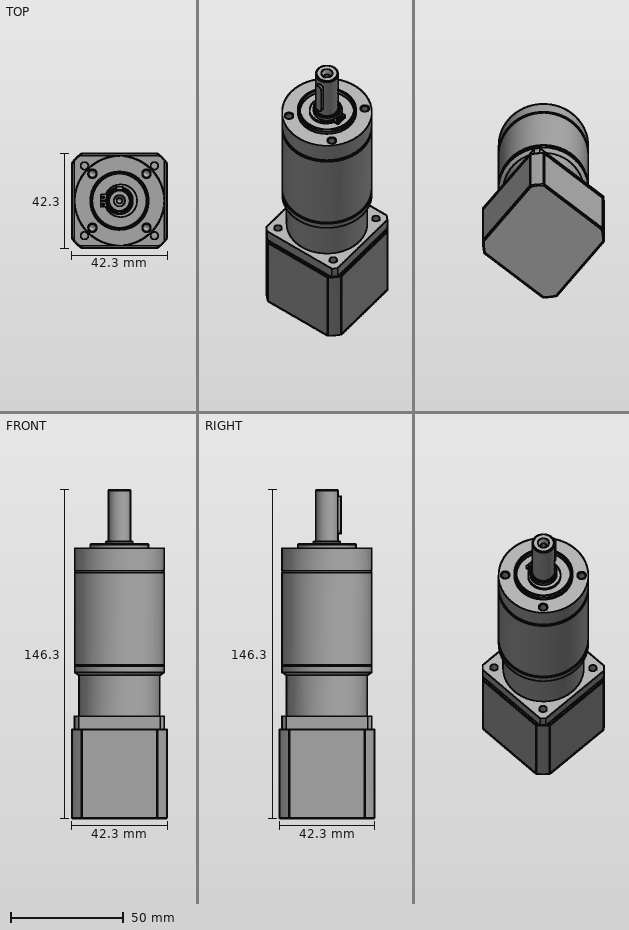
import cadquery as cq
import math

TOTAL_HEIGHT = 146.3

CORNER_DIAMETER = 54.0

MOTOR_WIDTH = 42.3
MOTOR_HEIGHT = 40.0
MOTOR_TOP_CHAMFER = 0.3
MOTOR_BOTTOM_CHAMFER = 0.6
MOTOR_CORNER_CHAMFER = 0.3

FLANGE_WIDTH = 40.0
FLANGE_THICKNESS = 5.7
FLANGE_HOLE_PITCH = 31.0
FLANGE_HOLE_DIAMETER = 3.4

NECK_DIAMETER = 36.0
HOUSING_DIAMETER = 40.0
TAPER_BOTTOM_Z = 63.8
TAPER_TOP_Z = 65.1
LOWER_GROOVE_WIDTH = 0.6
UPPER_GROOVE_WIDTH = 0.9
GROOVE_DEPTH = 0.3
LOWER_GROOVE_Z = 68.2
UPPER_GROOVE_Z = 109.9

SHAFT_LENGTH = 23.0
COLLAR_HEIGHT = 1.0
BOSS_HEIGHT = 2.0
BOSS_DIAMETER = 26.0
BOSS_CHAMFER = 0.6
RECESS_DIAMETER = 24.0
RECESS_DEPTH = 2.0
COLLAR_DIAMETER = 12.0
COLLAR_CHAMFER = 0.3
HEAD_HOLE_CIRCLE = 34.0
HEAD_HOLE_DIAMETER = 3.4
HEAD_HOLE_MOUTH_DIAMETER = 4.0
HEAD_HOLE_DEPTH = 8.0
HEAD_SINK_ANGLE = 90.0
DRILL_POINT_ANGLE = 118.0

RING_DIAMETER = 14.5
RING_OFFSET = 0.6
RING_THICKNESS = 1.0
EYES_REACH = 8.3
EYES_WIDTH = 5.5
EYES_GAP = 0.6
EYE_HOLE_DIAMETER = 0.9
EYE_CORNER_RADIUS = 0.5

SHAFT_DIAMETER = 10.0
SHAFT_CHAMFER = 0.5
CENTRE_HOLE_DIAMETER = 2.5
CENTRE_HOLE_DEPTH = 10.0
CENTRE_MOUTH_DIAMETER = 5.0
CENTRE_SINK_ANGLE = 60.0
KEY_WIDTH = 3.0
KEY_LENGTH = 16.5
KEY_END_GAP = 3.0
KEY_PROTRUSION = 1.3

SHAFT_BOTTOM_Z = TOTAL_HEIGHT - SHAFT_LENGTH
BOSS_TOP_Z = SHAFT_BOTTOM_Z - COLLAR_HEIGHT
HEAD_TOP_Z = BOSS_TOP_Z - BOSS_HEIGHT
FLANGE_TOP_Z = MOTOR_HEIGHT + FLANGE_THICKNESS


def cylinder(diameter, bottom_z, top_z):
    return cq.Workplane("XY", origin=(0, 0, bottom_z)).circle(diameter / 2).extrude(top_z - bottom_z)


def turned_square(width, bottom_z, height):
    """Square plate or block whose four corners are turned to one diameter about the axis."""
    block = cq.Workplane("XY", origin=(0, 0, bottom_z)).rect(width, width).extrude(height)
    return block.intersect(cylinder(CORNER_DIAMETER, bottom_z, bottom_z + height))


def make_motor():
    can = turned_square(MOTOR_WIDTH, 0, MOTOR_HEIGHT)
    can = can.edges("|Z").chamfer(MOTOR_CORNER_CHAMFER)
    can = can.faces(">Z").edges().chamfer(MOTOR_TOP_CHAMFER)
    return can.faces("<Z").edges().chamfer(MOTOR_BOTTOM_CHAMFER)


def drilled_hole(diameter, depth):
    """Blind hole cutter with a conical drill point, its mouth at the origin, going down."""
    radius = diameter / 2
    point = radius / math.tan(math.radians(DRILL_POINT_ANGLE / 2))
    outline = [(0, 0), (radius, 0), (radius, -depth), (0, -depth - point)]
    return cq.Workplane("XZ").polyline(outline).close().revolve(360, (0, 0), (0, 1))


def countersink(diameter, angle):
    """Cone cutter that tapers down from its mouth at the origin."""
    radius = diameter / 2
    depth = radius / math.tan(math.radians(angle / 2))
    outline = [(0, 0), (radius, 0), (0, -depth)]
    return cq.Workplane("XZ").polyline(outline).close().revolve(360, (0, 0), (0, 1))


def make_flange():
    flange = turned_square(FLANGE_WIDTH, MOTOR_HEIGHT, FLANGE_THICKNESS)
    holes = flange.faces(">Z").workplane().rect(FLANGE_HOLE_PITCH, FLANGE_HOLE_PITCH, forConstruction=True)
    return holes.vertices().hole(FLANGE_HOLE_DIAMETER)


def groove(middle_z, width):
    bottom_z = middle_z - width / 2
    top_z = middle_z + width / 2
    ring = cylinder(HOUSING_DIAMETER + 1.5, bottom_z, top_z)
    return ring.cut(cylinder(HOUSING_DIAMETER - 2 * GROOVE_DEPTH, bottom_z, top_z))


def make_housing():
    neck_radius = NECK_DIAMETER / 2
    housing_radius = HOUSING_DIAMETER / 2
    outline = [
        (0, FLANGE_TOP_Z),
        (neck_radius, FLANGE_TOP_Z),
        (neck_radius, TAPER_BOTTOM_Z),
        (housing_radius, TAPER_TOP_Z),
        (housing_radius, HEAD_TOP_Z),
        (0, HEAD_TOP_Z),
    ]
    housing = cq.Workplane("XZ").polyline(outline).close().revolve(360, (0, 0), (0, 1))
    housing = housing.cut(groove(LOWER_GROOVE_Z, LOWER_GROOVE_WIDTH))
    housing = housing.cut(groove(UPPER_GROOVE_Z, UPPER_GROOVE_WIDTH))
    for angle in (45, 135, 225, 315):
        hole = drilled_hole(HEAD_HOLE_DIAMETER, HEAD_HOLE_DEPTH)
        hole = hole.union(countersink(HEAD_HOLE_MOUTH_DIAMETER, HEAD_SINK_ANGLE))
        hole = hole.translate((HEAD_HOLE_CIRCLE / 2, 0, HEAD_TOP_Z))
        housing = housing.cut(hole.rotate((0, 0, 0), (0, 0, 1), angle))
    return housing


def make_boss():
    boss = cylinder(BOSS_DIAMETER, HEAD_TOP_Z, BOSS_TOP_Z).faces(">Z").edges().chamfer(BOSS_CHAMFER)
    return boss.cut(cylinder(RECESS_DIAMETER, BOSS_TOP_Z - RECESS_DEPTH, BOSS_TOP_Z))


def make_retaining_ring():
    floor_z = BOSS_TOP_Z - RECESS_DEPTH
    floor = cq.Workplane("XY", origin=(0, 0, floor_z))
    ring = floor.center(RING_OFFSET, 0).circle(RING_DIAMETER / 2).extrude(RING_THICKNESS)
    eyes = floor.center(-EYES_REACH / 2, 0).rect(EYES_REACH, EYES_WIDTH).extrude(RING_THICKNESS)
    gap = floor.center(-EYES_REACH / 2, 0).rect(EYES_REACH, EYES_GAP).extrude(RING_THICKNESS)
    eyes = eyes.edges("|Z and <X").fillet(EYE_CORNER_RADIUS)
    ring = ring.union(eyes).cut(gap)
    eye_x = -(EYES_REACH + COLLAR_DIAMETER / 2) / 2
    eye_y = (EYES_WIDTH + EYES_GAP) / 4
    eye_holes = floor.pushPoints([(eye_x, eye_y), (eye_x, -eye_y)]).circle(EYE_HOLE_DIAMETER / 2)
    return ring.cut(eye_holes.extrude(RING_THICKNESS))


def make_shaft():
    collar = cylinder(COLLAR_DIAMETER, HEAD_TOP_Z, SHAFT_BOTTOM_Z)
    collar = collar.faces(">Z").edges().chamfer(COLLAR_CHAMFER)
    shaft = cylinder(SHAFT_DIAMETER, SHAFT_BOTTOM_Z, TOTAL_HEIGHT)
    shaft = shaft.faces(">Z").edges().chamfer(SHAFT_CHAMFER).union(collar)
    shaft = shaft.cut(drilled_hole(CENTRE_HOLE_DIAMETER, CENTRE_HOLE_DEPTH).translate((0, 0, TOTAL_HEIGHT)))
    mouth = countersink(CENTRE_MOUTH_DIAMETER, CENTRE_SINK_ANGLE)
    return shaft.cut(mouth.translate((0, 0, TOTAL_HEIGHT)))


def make_key():
    """Round-ended key standing out of the +Y side of the shaft."""
    middle_z = TOTAL_HEIGHT - KEY_END_GAP - KEY_LENGTH / 2
    key_top_y = SHAFT_DIAMETER / 2 + KEY_PROTRUSION
    key_seat_y = SHAFT_DIAMETER / 4
    key = cq.Workplane("XZ", origin=(0, key_top_y, middle_z)).slot2D(KEY_LENGTH, KEY_WIDTH, 90)
    return key.extrude(key_top_y - key_seat_y)


def make_gearbox():
    gearbox = make_flange().union(make_housing()).union(make_boss())
    return gearbox.union(make_retaining_ring()).union(make_shaft()).union(make_key())


motor = make_motor()
gearbox = make_gearbox()
result = cq.Compound.makeCompound([motor.val(), gearbox.val()])